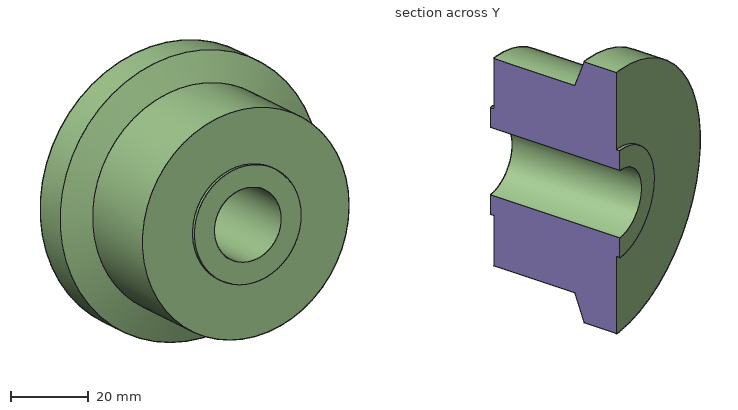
import cadquery as cq
import math

flange_diameter = 78.0
tread_diameter = 62.0
boss_diameter = 32.0
bore_diameter = 20.0

overall_length = 40.0
boss_height = 1.0
tread_length = 25.0
flange_flank_angle = 20.0

flange_radius = flange_diameter / 2
tread_radius = tread_diameter / 2
boss_radius = boss_diameter / 2
bore_radius = bore_diameter / 2

boss_start = -overall_length / 2
flange_face = boss_start + boss_height
boss_end = overall_length / 2
tread_end = boss_end - boss_height
tread_start = tread_end - tread_length
flank_length = (flange_radius - tread_radius) * math.tan(math.radians(flange_flank_angle))
flank_start = tread_start - flank_length

half_section = [
    (boss_start, bore_radius),
    (boss_start, boss_radius),
    (flange_face, boss_radius),
    (flange_face, flange_radius),
    (flank_start, flange_radius),
    (tread_start, tread_radius),
    (tread_end, tread_radius),
    (tread_end, boss_radius),
    (boss_end, boss_radius),
    (boss_end, bore_radius),
]

axis_start = (0, 0, 0)
axis_end = (1, 0, 0)
result = cq.Workplane("XY").polyline(half_section).close().revolve(360, axis_start, axis_end)